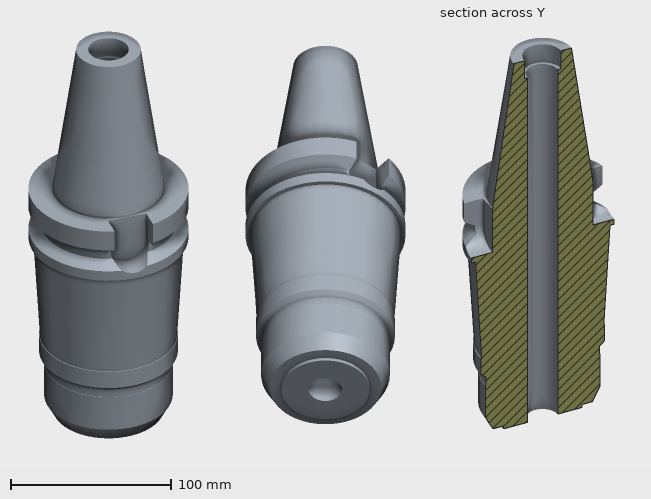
import cadquery as cq

total_height = 269.2
taper_end_radius = 20.2
taper_base_radius = 35.0
flange_diameter = 100.0
flange_radius = flange_diameter / 2
groove_radius = 42.5
body_top_radius = 47.0
body_bottom_radius = 42.8
collar_radius = 43.3
nose_radius = 40.0
nose_relief_radius = 39.8
nose_end_radius = 34.7
tip_radius = 27.5

taper_base_z = 167.5
flange_top_z = 166.0
groove_top_z = 152.0
groove_floor_top_z = 147.3
groove_floor_bottom_z = 141.0
groove_bottom_z = 136.5
flange_bottom_z = 129.5
collar_top_z = 57.3
collar_chamfer_z = 45.2
collar_bottom_z = 42.0
nose_relief_z = 36.3
nose_chamfer_z = 12.0
tip_height = 2.2

bore_radius = 10.5
counterbore_radius = 12.7
counterbore_depth = 13.2

slot_width = 25.3
slot_floor_x = 35.3
slot_bottom_z = 133.5


def turned_body():
    """Revolve the outer half profile, from the bottom up, about Z."""
    profile = [
        (0, 0),
        (tip_radius, 0),
        (tip_radius, tip_height),
        (nose_end_radius, tip_height),
        (nose_radius, nose_chamfer_z),
        (nose_radius, nose_relief_z),
        (nose_relief_radius, nose_relief_z),
        (nose_relief_radius, collar_bottom_z),
        (collar_radius, collar_chamfer_z),
        (collar_radius, collar_top_z),
        (body_bottom_radius, collar_top_z),
        (body_top_radius, flange_bottom_z),
        (flange_radius, flange_bottom_z),
        (flange_radius, groove_bottom_z),
        (groove_radius, groove_floor_bottom_z),
        (groove_radius, groove_floor_top_z),
        (flange_radius, groove_top_z),
        (flange_radius, flange_top_z),
        (taper_base_radius, flange_top_z),
        (taper_base_radius, taper_base_z),
        (taper_end_radius, total_height),
        (0, total_height),
    ]
    return cq.Workplane("XZ").polyline(profile).close().revolve(360, (0, 0, 0), (0, 1, 0))


def stepped_bore():
    """Through bore with a counterbore at the taper end."""
    bore = cq.Workplane("XY").circle(bore_radius).extrude(total_height)
    counterbore = (
        cq.Workplane("XY", origin=(0, 0, total_height - counterbore_depth))
        .circle(counterbore_radius)
        .extrude(counterbore_depth)
    )
    return bore.union(counterbore)


def drive_slot():
    """Round-bottomed slot on the +X side, open at the top of the flange."""
    half_width = slot_width / 2
    arc_center_z = slot_bottom_z + half_width
    return (
        cq.Workplane("YZ", origin=(slot_floor_x, 0, 0))
        .moveTo(-half_width, flange_top_z)
        .lineTo(-half_width, arc_center_z)
        .threePointArc((0, slot_bottom_z), (half_width, arc_center_z))
        .lineTo(half_width, flange_top_z)
        .close()
        .extrude(flange_radius - slot_floor_x)
    )


result = turned_body().cut(stepped_bore())
for slot_angle in (0, 180):
    result = result.cut(drive_slot().rotate((0, 0, 0), (0, 0, 1), slot_angle))